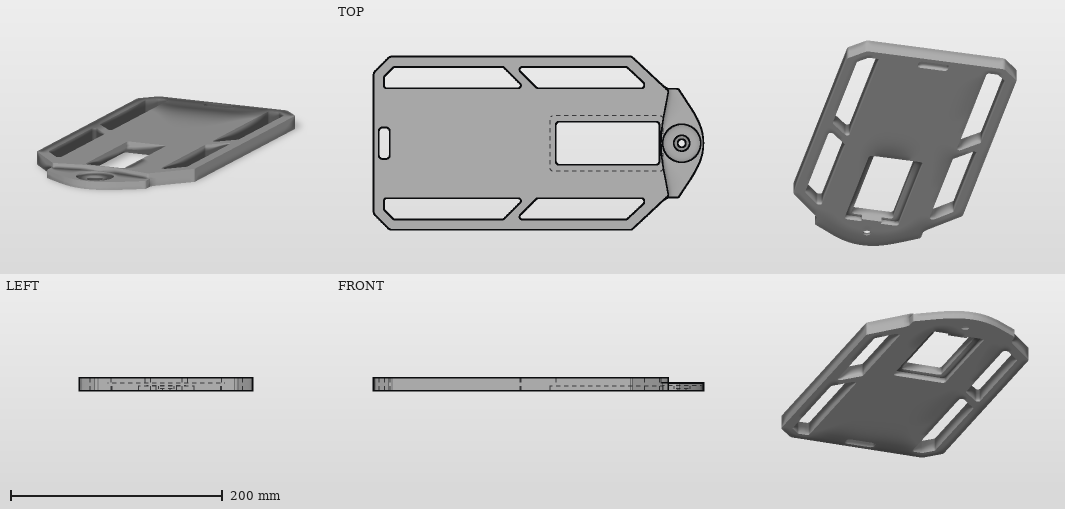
import cadquery as cq
import math

LENGTH = 312.01
WIDTH = 164.07
THICKNESS = 12.7
HALF_WIDTH = WIDTH / 2
LEFT_CHAMFER = 15.5
SHOULDER_X = 244.0
SHOULDER_SLOPE = 1.07
CORNER_RADIUS = 4.8
SHOULDER_RADIUS = 3.0
STEP_CORNER_RADIUS = 2.0

LUG_STEP = 5.0
LUG_HEIGHT = THICKNESS - LUG_STEP
LUG_HALF_WIDTH = 51.5
LUG_CORNER_X = 288.3
LUG_CORNER_RADIUS = 3.0
NOSE_SHOULDER = (304.0, 27.1)
ROOT_START_X = 272.0
ROOT_END_X = 278.5
ROOT_BLEND_RADIUS = 20.0

STEP_CORNER_X = 278.9
STEP_SLOPE = 0.19
STEP_RADIUS = 125.0

PIVOT_X = 291.4
PIVOT_DIAMETER = 7.5
INNER_RECESS_DIAMETER = 15.0
OUTER_RECESS_DIAMETER = 36.0
RECESS_DEPTH = 2.5

WINDOW_LEFT = 172.5
WINDOW_RIGHT = 270.2
WINDOW_WIDTH = 40.5
WINDOW_RADIUS = 3.0

POCKET_DEPTH = 5.0
POCKET_MARGIN = 6.0
POCKET_END_MARGIN = 3.5
POCKET_RADIUS = 3.5
TONGUE_WIDTH = 19.0

HANDLE_LEFT = 5.0
HANDLE_LENGTH = 10.3
HANDLE_WIDTH = 29.5
HANDLE_RADIUS = 3.5

FRAME_MARGIN = 10.0
SLOT_DEPTH = 20.0
SLOT_OUTER_Y = HALF_WIDTH - FRAME_MARGIN
SLOT_INNER_Y = SLOT_OUTER_Y - SLOT_DEPTH
SLOT_CHAMFER = 9.3
STRUT_LEFT_X = 122.8
STRUT_RIGHT_X = 134.7
SLOT_END_X = 255.8
SLOT_SHOULDER_X = 239.4
SLOT_RADIUS = 2.5


def shoulder_y(x):
    """Distance of the sloping shoulder edge from the centre line at a given X."""
    return HALF_WIDTH - (x - SHOULDER_X) / SHOULDER_SLOPE


def prism(points, height):
    """Extrude a closed outline upward from Z = 0."""
    return cq.Workplane("XY").polyline(points).close().extrude(height)


def round_corners(body, x, y, height, radius):
    """Fillet the vertical edges at (x, y) and (x, -y); with y = 0 they are the same edge."""
    for corner_y in sorted({y, -y}):
        corner = cq.selectors.NearestToPointSelector((x, corner_y, height / 2))
        body = body.edges(corner).fillet(radius)
    return body


def make_plate():
    """Full-height plate whose +X end follows the V-shaped step."""
    corner_y = shoulder_y(STEP_CORNER_X)
    apex_x = STEP_CORNER_X - corner_y * STEP_SLOPE
    upper = [
        (0, HALF_WIDTH - LEFT_CHAMFER),
        (LEFT_CHAMFER, HALF_WIDTH),
        (SHOULDER_X, HALF_WIDTH),
        (STEP_CORNER_X, corner_y),
    ]
    outline = upper + [(apex_x, 0)] + [(x, -y) for x, y in reversed(upper)]
    plate = prism(outline, THICKNESS)
    radii = (CORNER_RADIUS, CORNER_RADIUS, SHOULDER_RADIUS, STEP_CORNER_RADIUS)
    for (x, y), radius in zip(upper, radii):
        plate = round_corners(plate, x, y, THICKNESS, radius)
    return round_corners(plate, apex_x, 0, THICKNESS, STEP_RADIUS)


def make_lug():
    """Thin nose, running back under the plate as far as the window end."""
    root_y = shoulder_y(ROOT_START_X)
    root_run = ROOT_END_X - ROOT_START_X
    root_drop = root_y - LUG_HALF_WIDTH
    chord = math.hypot(root_run, root_drop)
    sagitta = ROOT_BLEND_RADIUS - math.sqrt(ROOT_BLEND_RADIUS ** 2 - (chord / 2) ** 2)
    mid_x = ROOT_START_X + root_run / 2 - sagitta * root_drop / chord
    mid_y = root_y - root_drop / 2 - sagitta * root_run / chord
    nose_x, nose_y = NOSE_SHOULDER
    side_x = nose_x - LUG_CORNER_X
    side_y = LUG_HALF_WIDTH - nose_y
    lug = (
        cq.Workplane("XY")
        .moveTo(WINDOW_RIGHT, -root_y)
        .lineTo(WINDOW_RIGHT, root_y)
        .lineTo(ROOT_START_X, root_y)
        .threePointArc((mid_x, mid_y), (ROOT_END_X, LUG_HALF_WIDTH))
        .lineTo(LUG_CORNER_X, LUG_HALF_WIDTH)
        .spline(
            [NOSE_SHOULDER, (LENGTH, 0)],
            tangents=[(side_x, -side_y), (0, -1)],
            includeCurrent=True,
        )
        .spline(
            [(nose_x, -nose_y), (LUG_CORNER_X, -LUG_HALF_WIDTH)],
            tangents=[(0, -1), (-side_x, -side_y)],
            includeCurrent=True,
        )
        .lineTo(ROOT_END_X, -LUG_HALF_WIDTH)
        .threePointArc((mid_x, -mid_y), (ROOT_START_X, -root_y))
        .close()
        .extrude(LUG_HEIGHT)
    )
    return round_corners(lug, LUG_CORNER_X, LUG_HALF_WIDTH, LUG_HEIGHT, LUG_CORNER_RADIUS)


def make_pivot():
    """Through hole with two stepped recesses sunk into the top of the lug."""
    def level(diameter, floor):
        return (
            cq.Workplane("XY", origin=(PIVOT_X, 0, floor))
            .circle(diameter / 2)
            .extrude(LUG_HEIGHT - floor)
        )

    outer_floor = LUG_HEIGHT - RECESS_DEPTH
    hole = level(PIVOT_DIAMETER, 0)
    inner = level(INNER_RECESS_DIAMETER, outer_floor - RECESS_DEPTH)
    return hole.union(inner).union(level(OUTER_RECESS_DIAMETER, outer_floor))


def rounded_opening(left, length, width, radius):
    """Through opening centred on Y = 0."""
    return (
        cq.Workplane("XY", origin=(left + length / 2, 0, 0))
        .rect(length, width)
        .extrude(THICKNESS)
        .edges("|Z")
        .fillet(radius)
    )


def make_frame_slots():
    """Two slots on each side of the plate, mirrored about the centre line."""
    left_slot = [
        (FRAME_MARGIN, SLOT_INNER_Y),
        (FRAME_MARGIN, SLOT_OUTER_Y - SLOT_CHAMFER),
        (FRAME_MARGIN + SLOT_CHAMFER, SLOT_OUTER_Y),
        (STRUT_LEFT_X, SLOT_OUTER_Y),
        (STRUT_LEFT_X + SLOT_DEPTH, SLOT_INNER_Y),
    ]
    shoulder_drop = (SLOT_END_X - SLOT_SHOULDER_X) / SHOULDER_SLOPE
    right_slot = [
        (STRUT_RIGHT_X, SLOT_OUTER_Y),
        (SLOT_SHOULDER_X, SLOT_OUTER_Y),
        (SLOT_END_X, SLOT_OUTER_Y - shoulder_drop),
        (SLOT_END_X, SLOT_INNER_Y),
        (STRUT_RIGHT_X + SLOT_DEPTH, SLOT_INNER_Y),
    ]
    slots = cq.Workplane("XY")
    for outline in (left_slot, right_slot):
        slot = prism(outline, THICKNESS).edges("|Z").fillet(SLOT_RADIUS)
        slots = slots.add(slot).add(slot.mirror("XZ"))
    return slots.combine()


def make_pocket():
    """Underside clearance around the window, leaving the tongue at the lug end."""
    left = WINDOW_LEFT - POCKET_MARGIN
    right = WINDOW_RIGHT + POCKET_END_MARGIN
    pocket = (
        cq.Workplane("XY", origin=((left + right) / 2, 0, 0))
        .rect(right - left, WINDOW_WIDTH + 2 * POCKET_MARGIN)
        .extrude(POCKET_DEPTH)
        .edges("|Z")
        .fillet(POCKET_RADIUS)
    )
    tongue = (
        cq.Workplane("XY", origin=(WINDOW_RIGHT + POCKET_END_MARGIN / 2, 0, 0))
        .rect(POCKET_END_MARGIN, TONGUE_WIDTH)
        .extrude(POCKET_DEPTH)
    )
    return pocket.cut(tongue)


window = rounded_opening(WINDOW_LEFT, WINDOW_RIGHT - WINDOW_LEFT, WINDOW_WIDTH, WINDOW_RADIUS)
handle = rounded_opening(HANDLE_LEFT, HANDLE_LENGTH, HANDLE_WIDTH, HANDLE_RADIUS)

result = make_plate().union(make_lug())
for cutter in (make_pivot(), make_pocket(), window, handle, make_frame_slots()):
    result = result.cut(cutter)